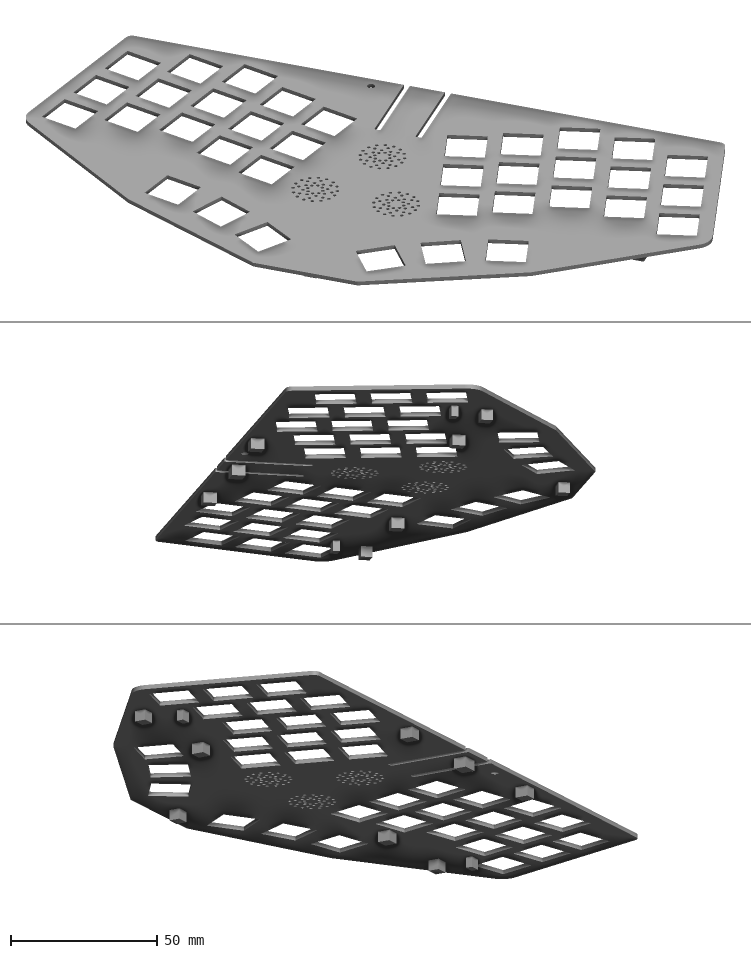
import cadquery as cq
import math

plate_width = 248.0
plate_depth = 127.0
plate_thickness = 1.5
foot_height = 3.7

half_width = plate_width / 2
back_y = plate_depth / 2
front_y = -plate_depth / 2

side_lean = 15.0
side_corner_y = 0.5
shoulder = (73.0, -38.2)
front_edge_half = 18.9
back_corner_radius = 2.5
side_corner_radius = 6.2

key_size = 14.0
key_pitch = 19.0
keys_per_column = 3
column_tilt = 15.0
column_tops = [(24.8, 32.5), (42.5, 40.0), (59.5, 49.9), (79.5, 49.9), (100.2, 45.0)]
thumb_keys = [(21.3, -46.5, 35.0), (40.2, -35.5, 26.5), (60.5, -27.5, 15.0)]

slot_x = 7.5
slot_width = 2.2
slot_depth = 30.8
round_hole = (-18.9, 59.0)
round_hole_diameter = 2.7

grille_centres = [(0.0, 16.5), (-14.6, -11.2), (14.6, -11.2)]
grille_hole_diameter = 1.2
grille_rings = [(2.7, 8, False), (4.2, 8, True), (6.0, 8, False), (7.7, 16, True)]

feet = [
    (-97.8, 3.0, 4.0, 2.5),
    (95.8, 3.0, 4.0, 2.5),
    (-94.5, -9.0, 4.7, 4.0),
    (102.0, -9.0, 4.7, 4.0),
    (-57.8, -7.0, 4.7, 4.5),
    (60.3, -11.0, 4.7, 4.5),
    (-38.5, 59.3, 4.5, 4.7),
    (38.7, 59.3, 4.5, 4.7),
    (-0.2, 57.8, 5.7, 4.7),
    (-0.2, -56.0, 4.7, 4.0),
]


def side_corner_x():
    """Sharp corner position that puts the rounded corner exactly at the half width."""
    lean = math.radians(side_lean)
    slant = math.atan2(half_width - shoulder[0], side_corner_y - shoulder[1])
    half_turn = (lean + slant) / 2
    bisector = (slant - lean) / 2
    return half_width + side_corner_radius * (math.cos(bisector) / math.cos(half_turn) - 1)


def mirrored(points):
    return [(-x, y) for x, y in reversed(points)]


def make_plate():
    side_x = side_corner_x()
    back_x = side_x - (back_y - side_corner_y) * math.tan(math.radians(side_lean))
    right_half = [
        (front_edge_half, front_y),
        shoulder,
        (side_x, side_corner_y),
        (back_x, back_y),
    ]
    plate = cq.Workplane("XY").polyline(right_half + mirrored(right_half)).close()
    plate = plate.extrude(plate_thickness)
    for x, y, radius in [
        (back_x, back_y, back_corner_radius),
        (side_x, side_corner_y, side_corner_radius),
    ]:
        for side in (-1, 1):
            corner = cq.selectors.NearestToPointSelector((side * x, y, plate_thickness / 2))
            plate = plate.edges("|Z").edges(corner).fillet(radius)
    return plate


def key_positions():
    """Centre and tilt of every key opening in the right half."""
    tilt = math.radians(column_tilt)
    keys = list(thumb_keys)
    for x, y in column_tops:
        for row in range(keys_per_column):
            along = row * key_pitch
            keys.append((x + along * math.sin(tilt), y - along * math.cos(tilt), column_tilt))
    return keys


def cut_keys(plate):
    for x, y, tilt in key_positions():
        for side in (-1, 1):
            opening = (
                cq.Workplane("XY")
                .transformed(offset=(side * x, y, 0), rotate=(0, 0, side * tilt))
                .rect(key_size, key_size)
                .extrude(plate_thickness)
            )
            plate = plate.cut(opening)
    return plate


def cut_slots_and_hole(plate):
    slots = (
        cq.Workplane("XY")
        .pushPoints([(side * slot_x, back_y - slot_depth / 2) for side in (-1, 1)])
        .rect(slot_width, slot_depth)
        .extrude(plate_thickness)
    )
    hole = cq.Workplane("XY").center(*round_hole).circle(round_hole_diameter / 2).extrude(plate_thickness)
    return plate.cut(slots).cut(hole)


def cut_grilles(plate):
    points = []
    for centre_x, centre_y in grille_centres:
        for radius, count, turned in grille_rings:
            spacing = 2 * math.pi / count
            start = spacing / 2 if turned else 0
            for i in range(count):
                angle = start + i * spacing
                points.append((centre_x + radius * math.cos(angle), centre_y + radius * math.sin(angle)))
    holes = cq.Workplane("XY").pushPoints(points).circle(grille_hole_diameter / 2).extrude(plate_thickness)
    return plate.cut(holes)


def add_feet(plate):
    for x, y, size_x, size_y in feet:
        foot = cq.Workplane("XY").center(x, y).rect(size_x, size_y).extrude(-foot_height)
        plate = plate.union(foot)
    return plate


result = make_plate()
result = cut_keys(result)
result = cut_slots_and_hole(result)
result = cut_grilles(result)
result = add_feet(result)